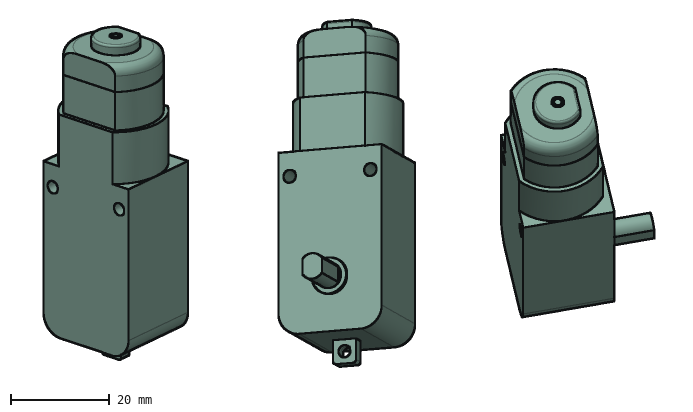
import cadquery as cq

width = 22.5
housing_front = -8.7
housing_depth = 18.9
housing_back = housing_front + housing_depth
housing_middle = (housing_front + housing_back) / 2
housing_bottom = 5.0
housing_top = 43.0
corner_radius = 4.5

neck_top = 54.45
neck_diameter = 22.4
neck_flats = -2 * housing_front

mount_hole_diameter = 2.7
mount_hole_spacing = 17.5
mount_hole_height = 37.9

tab_width = 5.0
tab_thickness = 2.6
tab_hole_diameter = 2.55
tab_hole_height = 2.55
tab_corner_radius = 0.65

motor_diameter = 20.4
motor_flats = 15.3
can_top = 62.9
cap_top = 68.5
cap_edge_radius = 2.05

boss_diameter = 10.0
boss_top = 70.7
boss_flat = 4.2
boss_edge_radius = 0.5

motor_shaft_diameter = 2.0
motor_shaft_chamfer = 0.2
motor_shaft_hole_diameter = 2.5

shaft_height = 16.5
shaft_diameter = 5.3
overall_depth = 29.0
shaft_end = housing_front + overall_depth
shaft_flats = 4.25
collar_diameter = 7.5
collar_thickness = 0.65
shaft_round_length = 1.05


def slab(slab_width, depth, bottom, top):
    """Box centred on the motor axis."""
    return cq.Workplane("XY", origin=(0, 0, bottom)).rect(slab_width, depth).extrude(top - bottom)


def double_d_prism(diameter, flats, bottom, top):
    """Vertical cylinder on the motor axis with one flat in front and one behind."""
    height = top - bottom
    cylinder = cq.Workplane("XY", origin=(0, 0, bottom)).circle(diameter / 2).extrude(height)
    return cylinder.intersect(slab(diameter, flats, bottom, top))


def make_tab():
    tab = (
        cq.Workplane("XY", origin=(0, housing_middle, 0))
        .rect(tab_width, tab_thickness)
        .extrude(housing_bottom)
        .edges("|Y and <Z")
        .fillet(tab_corner_radius)
    )
    hole = (
        cq.Workplane("XZ", origin=(0, housing_middle, tab_hole_height))
        .circle(tab_hole_diameter / 2)
        .extrude(tab_thickness, both=True)
    )
    return tab.cut(hole)


def make_housing():
    block = (
        cq.Workplane("XY", origin=(0, housing_middle, housing_bottom))
        .rect(width, housing_depth)
        .extrude(housing_top - housing_bottom)
        .edges("|Y and <Z")
        .fillet(corner_radius)
    )
    neck = double_d_prism(neck_diameter, neck_flats, housing_top, neck_top)
    mount_holes = (
        cq.Workplane("XZ", origin=(0, housing_middle, mount_hole_height))
        .pushPoints([(-mount_hole_spacing / 2, 0), (mount_hole_spacing / 2, 0)])
        .circle(mount_hole_diameter / 2)
        .extrude(housing_depth, both=True)
    )
    collar = (
        cq.Workplane("XZ", origin=(0, housing_back, shaft_height))
        .circle(collar_diameter / 2)
        .circle(shaft_diameter / 2)
        .extrude(-collar_thickness)
    )
    return block.union(neck).union(make_tab()).union(collar).cut(mount_holes)


def motor_shaft_cylinder(diameter):
    """Vertical cylinder on the axis of the boss, from the can to the top of the boss."""
    return (
        cq.Workplane("XY", origin=(0, housing_middle, can_top))
        .circle(diameter / 2)
        .extrude(boss_top - can_top)
    )


def make_motor():
    can = double_d_prism(motor_diameter, motor_flats, neck_top, can_top)
    shaft = motor_shaft_cylinder(motor_shaft_diameter).faces(">Z").chamfer(motor_shaft_chamfer)
    return can.union(shaft)


def make_boss():
    boss = (
        cq.Workplane("XY", origin=(0, housing_middle, cap_top))
        .circle(boss_diameter / 2)
        .extrude(boss_top - cap_top)
    )
    beyond_flat = (
        cq.Workplane("XY", origin=(0, housing_middle + boss_flat + boss_diameter / 2, cap_top))
        .rect(boss_diameter, boss_diameter)
        .extrude(boss_top - cap_top)
    )
    return boss.cut(beyond_flat).faces(">Z").edges().fillet(boss_edge_radius)


def make_cap():
    cap = (
        cq.Workplane("XY", origin=(0, 0, can_top))
        .circle(motor_diameter / 2)
        .extrude(cap_top - can_top)
        .faces(">Z")
        .edges()
        .fillet(cap_edge_radius)
        .intersect(slab(motor_diameter, motor_flats, can_top, cap_top))
    )
    shaft_hole = motor_shaft_cylinder(motor_shaft_hole_diameter)
    return cap.union(make_boss()).cut(shaft_hole)


def make_output_shaft():
    round_part = (
        cq.Workplane("XZ", origin=(0, housing_back, shaft_height))
        .circle(shaft_diameter / 2)
        .extrude(housing_back - shaft_end)
    )
    flat_start = housing_back + shaft_round_length
    frame_size = 2 * shaft_diameter
    flats = (
        cq.Workplane("XZ", origin=(0, flat_start, shaft_height))
        .rect(frame_size, frame_size)
        .rect(shaft_flats, frame_size - shaft_diameter / 2)
        .extrude(flat_start - shaft_end)
    )
    return round_part.cut(flats)


housing = make_housing()
motor = make_motor()
cap = make_cap()
output_shaft = make_output_shaft()

result = cq.Compound.makeCompound([housing.val(), motor.val(), cap.val(), output_shaft.val()])